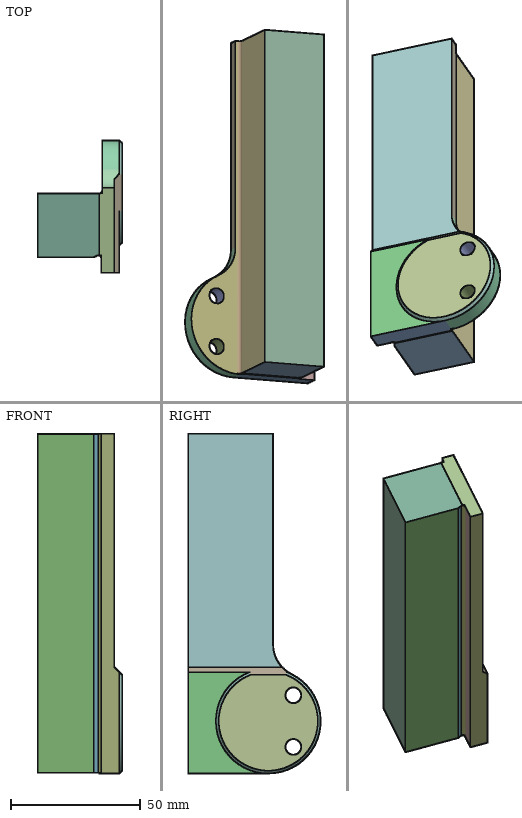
import cadquery as cq
import math

length = 131.65
total_depth = 32.82

bar_width = 24.75
bar_end = 23.8
bottom_step = 0.3
top_step = 0.1

flange_width = 6.0
lip_width = 2.15
flange_face = 24.6
ear_face = 25.0
thin_back = 29.75
thick_back = 31.7
ramp_bottom = 38.2

groove_radius = 1.2
groove_depth = 0.8
groove_ramp = 1.6
corner_radius = ear_face - bar_end
arc_middle = math.sqrt(0.5)

ear_radius = 20.32
ear_blend_radius = 12.7
ear_reach = 51.32
pad_edge_radius = 19.2
hole_diameter = 6.0
hole_spacing = 20.0
hole_offset = 9.7

bar_low = flange_width
bar_high = bar_low + bar_width
plate_edge = bar_high + lip_width
ear_y = ear_reach - ear_radius
ear_z = ear_radius


def make_bar():
    """Square bar, sunk into the plate, with its relief groove and corner fillet."""
    groove_top = bar_low + groove_depth
    groove_x = flange_face - groove_radius
    arc_reach = groove_radius * arc_middle
    arc_y = groove_top - groove_radius
    fillet_y = bar_high + corner_radius
    fillet_reach = corner_radius * arc_middle
    return (
        cq.Workplane("XY", origin=(0, 0, bottom_step))
        .moveTo(0, bar_low)
        .lineTo(groove_x - groove_ramp, bar_low)
        .lineTo(groove_x, groove_top)
        .threePointArc((groove_x + arc_reach, arc_y + arc_reach), (flange_face, arc_y))
        .lineTo(thin_back, arc_y)
        .lineTo(thin_back, fillet_y)
        .lineTo(ear_face, fillet_y)
        .threePointArc((bar_end + fillet_reach, fillet_y - fillet_reach), (bar_end, bar_high))
        .lineTo(0, bar_high)
        .close()
        .extrude(length - top_step - bottom_step)
    )


def make_plate():
    """Long plate: full length behind the bar, with a shorter lip on the ear side."""
    groove_top = bar_low + groove_depth
    flange = (
        cq.Workplane("XY")
        .polyline([
            (flange_face, 0),
            (thick_back, 0),
            (thick_back, bar_high),
            (bar_end, bar_high),
            (bar_end, groove_top),
            (flange_face, groove_top),
        ])
        .close()
        .extrude(length)
    )
    lip = (
        cq.Workplane("XY", origin=(ear_face, bar_low, ear_z))
        .box(thick_back - ear_face, plate_edge - bar_low, length - ear_z, centered=False)
    )
    return flange.union(lip)


def make_ear():
    """Round ear blended into the plate's edge by a concave arc."""
    blend_y = plate_edge + ear_blend_radius
    centre_distance = ear_radius + ear_blend_radius
    blend_z = ear_z + math.sqrt(centre_distance**2 - (blend_y - ear_y)**2)
    share = ear_radius / centre_distance
    tangent_y = ear_y + share * (blend_y - ear_y)
    tangent_z = ear_z + share * (blend_z - ear_z)
    start_angle = math.atan2(tangent_z - blend_z, tangent_y - blend_y)
    middle_angle = (start_angle - math.pi) / 2
    blend_middle = (
        blend_y + ear_blend_radius * math.cos(middle_angle),
        blend_z + ear_blend_radius * math.sin(middle_angle),
    )
    return (
        cq.Workplane("YZ", origin=(ear_face, 0, 0))
        .moveTo(ear_y, 0)
        .threePointArc((ear_reach, ear_z), (tangent_y, tangent_z))
        .threePointArc(blend_middle, (plate_edge, blend_z))
        .lineTo(bar_low, blend_z)
        .lineTo(bar_low, 0)
        .close()
        .extrude(thick_back - ear_face)
    )


def make_pad():
    """Tapered round pad on the back of the ear."""
    return (
        cq.Workplane("YZ", origin=(thick_back, 0, 0))
        .center(ear_y, ear_z)
        .circle(ear_radius)
        .workplane(offset=total_depth - thick_back)
        .circle(pad_edge_radius)
        .loft()
    )


def make_back_cut():
    """Space behind the thin upper part of the plate, ending in the 45 degree ramp."""
    ramp_top = ramp_bottom + total_depth - thin_back
    return (
        cq.Workplane("XZ")
        .polyline([
            (thin_back, length),
            (thin_back, ramp_top),
            (total_depth, ramp_bottom),
            (total_depth, length),
        ])
        .close()
        .extrude(-ear_reach)
    )


def make_holes():
    """Two through holes in the ear, one above the other."""
    hole_places = [(0, -hole_spacing / 2), (0, hole_spacing / 2)]
    return (
        cq.Workplane("YZ")
        .center(ear_y + hole_offset, ear_z)
        .pushPoints(hole_places)
        .circle(hole_diameter / 2)
        .extrude(total_depth)
    )


result = make_plate().union(make_bar()).union(make_ear()).union(make_pad())
result = result.cut(make_back_cut()).cut(make_holes())